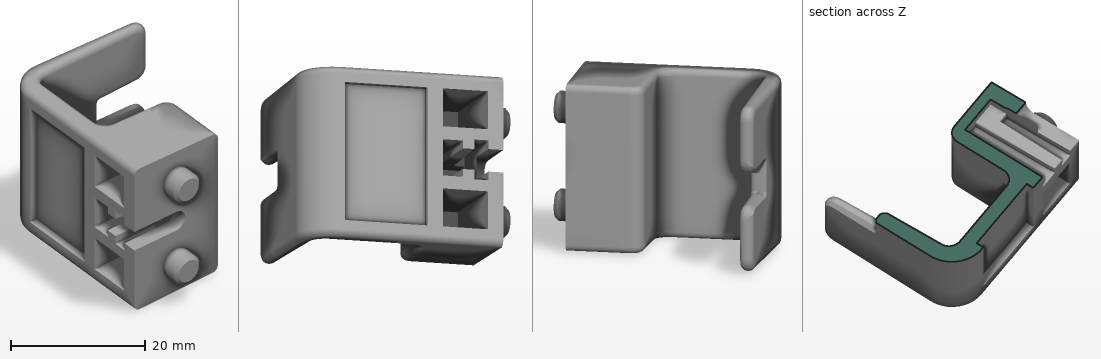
import cadquery as cq
import math


total_length = 33.6
body_length = 30.62
arm_reach = 25.5
front_width = 25.98
draft_angle = 1.0
slope = math.tan(math.radians(draft_angle))
tool_overrun = 0.35

web_thickness = 3.5
arm_thickness = 2.75
block_start = 18.8
block_depth = 16.0
outer_bend_radius = 5.5
corner_radius = 2.0
rim_radius = 1.0
draft_level = web_thickness + corner_radius

notch_floor = block_depth
notch_mouth_half = 2.55
notch_floor_half = notch_mouth_half - (arm_reach - notch_floor) * slope
notch_corner_radius = 0.35
mouth_half = 5.38
mouth_end = arm_reach + 1.68

bevel_width = 0.47
bevel_tip_width = 0.27
bevel_floor = notch_floor - bevel_width
bevel_half = notch_mouth_half + bevel_width
bevel_mouth = arm_reach - bevel_tip_width
bevel_corner_radius = notch_corner_radius + bevel_width
bevel_flare_radius = corner_radius - bevel_tip_width
bevel_angle = 40.0
bevel_tool_depth = 0.97

recess_start = 5.9
cavity_half = 10.52
recess_depth = 1.2
pocket_start = 21.2
pocket_end = 28.2
pocket_inner = 4.75
pocket_depth = 14.3
head_end = 24.3
head_half = 2.75
neck_half = 1.58
cross_start = 26.15
cross_end = 28.3
cross_half = 3.02
cross_depth = 11.43
channel_half = 1.7

pin_axis_y = block_depth / 2
pin_radius = 2.42
pin_spacing = 15.0
pin_chamfer = 0.55


def box_around(x, y, reach_x, reach_y, reach_z):
    """Selector for a box centred on (x, y, 0) with the given half sizes."""
    return cq.selectors.BoxSelector(
        (x - reach_x, y - reach_y, -reach_z),
        (x + reach_x, y + reach_y, reach_z),
    )


def leaning_right(x, y):
    """X at height y of a drafted wall that moves toward +X as y grows."""
    return x + (y - draft_level) * slope


def leaning_left(x, y):
    """X at height y of a drafted wall that moves toward -X as y grows."""
    return x - (y - draft_level) * slope


def make_body():
    """Hook outline with rounded bends, narrowing in Z toward the arm tip."""
    bend = (leaning_right(0, 0), 0)
    block_corner = (leaning_right(block_start, block_depth), block_depth)
    block_foot = (leaning_right(block_start, web_thickness), web_thickness)
    arm_foot = (leaning_left(arm_thickness, web_thickness), web_thickness)
    outline = [
        bend,
        (body_length, 0),
        (body_length, block_depth),
        block_corner,
        block_foot,
        arm_foot,
        (leaning_left(arm_thickness, arm_reach), arm_reach),
        (leaning_right(0, arm_reach), arm_reach),
    ]
    hook = cq.Workplane("XY").polyline(outline).close().extrude(front_width / 2, both=True)
    hook = hook.edges(box_around(*bend, 0.35, 0.35, 0.35)).fillet(outer_bend_radius)
    for corner in (block_corner, block_foot, arm_foot):
        hook = hook.edges(box_around(*corner, 0.35, 0.35, 0.35)).fillet(corner_radius)

    front_half = front_width / 2
    tip_half = front_half - arm_reach * slope
    envelope = (
        cq.Workplane("YZ", origin=(-tool_overrun, 0, 0))
        .polyline([(0, -front_half), (arm_reach, -tip_half), (arm_reach, tip_half), (0, front_half)])
        .close()
        .extrude(body_length + 2 * tool_overrun)
        .edges("|X and >Y")
        .fillet(corner_radius)
    )
    return hook.intersect(envelope)


def round_rim(body, y):
    """Round the whole smooth rim that runs through the straight web edges at height y."""
    web_middle = (arm_thickness + block_start) / 2
    near_web = box_around(web_middle, y, block_start / 2, 0.05, front_width)
    return body.edges(near_web).edges("|X").fillet(rim_radius)


def notch_sketch(floor, floor_half, mouth, throat_half, floor_radius, flare_radius):
    """Slot outline with rounded floor corners and a flared mouth that opens past the arm tip."""
    upper = [(floor, floor_half), (mouth, throat_half), (mouth, mouth_half), (mouth_end, mouth_half)]
    lower = [(y, -z) for y, z in reversed(upper)]
    points = upper + lower
    return (
        cq.Sketch()
        .polygon(points + points[:1])
        .vertices(box_around(floor, 0, 0.05, mouth_half, 0.35))
        .fillet(floor_radius)
        .reset()
        .vertices(box_around(mouth, 0, 0.05, throat_half + 0.05, 0.35))
        .fillet(flare_radius)
    )


def cut_notch(body):
    """Narrowing notch through the arm, then its bevel square to the leaning outer face."""
    notch = notch_sketch(
        notch_floor, notch_floor_half, arm_reach, notch_mouth_half, notch_corner_radius, corner_radius
    )
    bevel = notch_sketch(
        bevel_floor, bevel_half, bevel_mouth, bevel_half, bevel_corner_radius, bevel_flare_radius
    )
    notch_tool = (
        cq.Workplane("YZ", origin=(-tool_overrun, 0, 0))
        .placeSketch(notch)
        .extrude(arm_thickness + 2 * tool_overrun)
    )
    bevel_tool = (
        cq.Workplane("YZ")
        .placeSketch(bevel)
        .extrude(bevel_tool_depth, taper=bevel_angle)
        .rotate((0, draft_level, 0), (0, draft_level, 1), -draft_angle)
    )
    return body.cut(notch_tool).cut(bevel_tool)


def front_cavity(points, depth, taper=draft_angle):
    """Cavity cutter from the front face; points are (x, -z) and the walls close in with depth."""
    front_plane = cq.Plane(origin=(0, 0, 0), xDir=(1, 0, 0), normal=(0, 1, 0))
    return cq.Workplane(front_plane).polyline(points).close().extrude(depth, taper=taper)


def rectangle(x_start, x_end, low, high):
    return [(x_start, low), (x_end, low), (x_end, high), (x_start, high)]


def make_cavities():
    recess = front_cavity(
        rectangle(recess_start, block_start, -cavity_half, cavity_half), recess_depth, taper=0
    )
    lower_pocket = front_cavity(
        rectangle(pocket_start, pocket_end, pocket_inner, cavity_half), pocket_depth
    )
    upper_pocket = lower_pocket.mirror("XY")

    head_and_neck_side = [
        (pocket_start, head_half),
        (head_end, head_half),
        (head_end, neck_half),
        (pocket_end, neck_half),
    ]
    other_side = [(x, -z) for x, z in reversed(head_and_neck_side)]
    head_and_neck = front_cavity(head_and_neck_side + other_side, pocket_depth)
    cross_bar = front_cavity(rectangle(cross_start, cross_end, -cross_half, cross_half), cross_depth)
    return [recess, lower_pocket, upper_pocket, head_and_neck, cross_bar]


def make_channel():
    """Round-bottomed channel from the cross-shaped opening out through the pin face."""
    return (
        cq.Workplane("YZ", origin=(pocket_end, 0, 0))
        .moveTo(0, -channel_half)
        .lineTo(pin_axis_y, -channel_half)
        .threePointArc((pin_axis_y + channel_half, 0), (pin_axis_y, channel_half))
        .lineTo(0, channel_half)
        .close()
        .extrude(body_length - pocket_end + tool_overrun)
    )


def make_pins():
    return (
        cq.Workplane("YZ", origin=(body_length, 0, 0))
        .pushPoints([(pin_axis_y, pin_spacing / 2), (pin_axis_y, -pin_spacing / 2)])
        .circle(pin_radius)
        .extrude(total_length - body_length)
        .faces(">X")
        .chamfer(pin_chamfer)
    )


body = make_body()
body = round_rim(body, 0)
body = cut_notch(body)
body = round_rim(body, web_thickness)
for cavity in make_cavities():
    body = body.cut(cavity)
body = body.cut(make_channel())
result = body.union(make_pins())